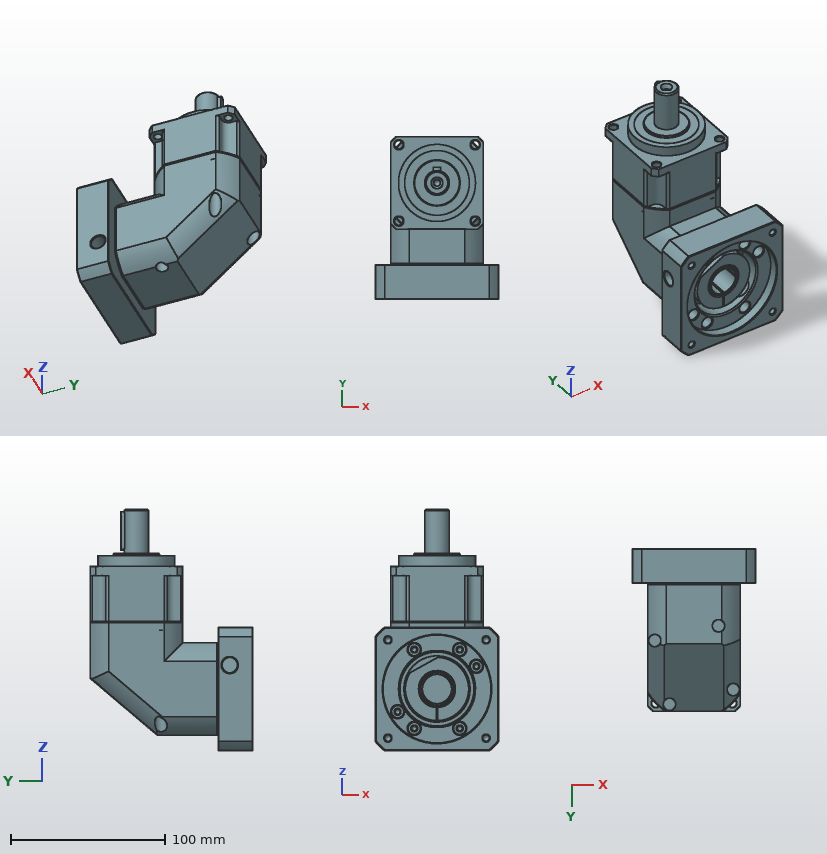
import cadquery as cq
import math


BODY_SIDE = 60.0
BODY_CORNER_RADIUS = 35.0
BODY_HALF = BODY_SIDE / 2

NECK_LENGTH = 1.0
NECK_INSET = 0.25
ELBOW_TOP = 43.0
ELBOW_FRONT = -52.0
HOUSING_BOTTOM = ELBOW_TOP + NECK_LENGTH
FLANGE_BACK = ELBOW_FRONT - NECK_LENGTH

HOUSING_TOP = 79.5
PLATE_THICKNESS = 6.0
PLATE_CORNER_RADIUS = 40.0
PILOT_DIAMETER = 50.0
PILOT_HEIGHT = 7.0
PILOT_TOP = HOUSING_TOP + PILOT_HEIGHT
SEAL_DIAMETER = 42.0
SEAL_RECESS = 0.1
MOUNT_CIRCLE = 70.0
MOUNT_HOLE_DIAMETER = 5.5
MOUNT_HOLE_CHAMFER = 0.5
MOUNT_POCKET_RADIUS = 4.75

SHAFT_DIAMETER = 16.0
SHAFT_TOP = 116.5
SHAFT_CHAMFER = 1.0
SHOULDER_DIAMETER = 30.0
SHOULDER_HEIGHT = 1.5
SHOULDER_CHAMFER_HEIGHT = 1.0
SHOULDER_CHAMFER_WIDTH = 0.5
CENTER_HOLE_DIAMETER = 4.2
CENTER_HOLE_DEPTH = 15.0
CENTER_SINK_DIAMETER = 7.5
CENTER_SINK_DEPTH = 3.0
KEY_WIDTH = 5.0
KEY_LENGTH = 25.0
KEY_TOP_RADIUS = 10.0
KEY_BOTTOM = PILOT_TOP + SHOULDER_HEIGHT + 2.0

BOLT_CIRCLE = 59.0
BOLT_ANGLES = (30, 60, 120, 210, 240, 300)
BOLT_HEAD_DIAMETER = 8.0
BOLT_HOLE_DIAMETER = 3.4
BOLT_CHAMFER = 0.5
BOLT_SEAT_THICKNESS = 6.0
BOLT_THREAD_DEPTH = 8.0
DRILL_POINT_ANGLE = math.radians(118)

SLANT_ANGLE = 40.3
SLANT_DISTANCE = 14.0
SLANT_ROUND_OFFSET = -15.1
ELBOW_BOLT_CIRCLE = 60.0
ELBOW_BOLT_ANGLES = (32, 122, 212, 302)
INPUT_RECESS_DIAMETER = 43.0
INPUT_RECESS_DEPTH = 1.0

FLANGE_SIDE = 80.0
FLANGE_CORNER_RADIUS = 52.5
FLANGE_THICKNESS = 22.5
FLANGE_FRONT = FLANGE_BACK - FLANGE_THICKNESS
FLANGE_CHAMFER = 0.5
MOTOR_PILOT_DIAMETER = 70.0
MOTOR_PILOT_DEPTH = 7.0
MOTOR_PILOT_CHAMFER = 0.5
MOTOR_PILOT_FLOOR = FLANGE_FRONT + MOTOR_PILOT_DEPTH
FLANGE_BORE_DIAMETER = 48.0
FLANGE_BORE_CHAMFER = 1.0
MOTOR_BOLT_CIRCLE = 90.0
MOTOR_HOLE_DIAMETER = 4.2
MOTOR_HOLE_CHAMFER = 0.5
MOTOR_HOLE_DEPTH = 12.0
ACCESS_HOLE_DIAMETER = 10.0
ACCESS_HOLE_CHAMFER = 0.5
ACCESS_HOLE_Y = -60.5
ACCESS_HOLE_Z = 15.5

SLEEVE_OUTER_DIAMETER = 22.0
SLEEVE_BORE_DIAMETER = 19.0
SLEEVE_CHAMFER = 0.4
SLEEVE_FRONT = FLANGE_FRONT + 10.0
SLEEVE_LENGTH = 32.0
SLEEVE_BORE_DEPTH = 28.0
SLEEVE_SLOT_WIDTH = 1.0
SLEEVE_SLOT_LENGTH = 14.0
COLLAR_DIAMETER = 41.0
COLLAR_WIDTH = 11.0
COLLAR_BORE_CHAMFER = 1.0
COLLAR_SLIT_WIDTH = 1.0
COLLAR_FLAT_ANGLE = 119.0
COLLAR_FLAT_DISTANCE = 17.7


def rounded_square_prism(plane, side, corner_radius, length):
    """Square bar along the plane normal with corners turned to corner_radius."""
    square = cq.Workplane(plane).rect(side, side).extrude(length)
    round_bar = cq.Workplane(plane).circle(corner_radius).extrude(length)
    return square.intersect(round_bar)


def horizontal_plane(z):
    """Plane at height z facing up."""
    return cq.Plane(origin=(0, 0, z), xDir=(1, 0, 0), normal=(0, 0, 1))


def front_plane(y):
    """Plane at depth y facing +Y, into the gearbox; its local axes are -X and Z."""
    return cq.Plane(origin=(0, y, 0), xDir=(-1, 0, 0), normal=(0, 1, 0))


def polar_points(circle_diameter, angles):
    radius = circle_diameter / 2
    return [
        (radius * math.cos(math.radians(a)), radius * math.sin(math.radians(a)))
        for a in angles
    ]


def mirrored(points):
    """Points in XZ as seen on a front plane, whose local x runs along -X."""
    return [(-x, z) for x, z in points]


def cylinders(plane, points, diameter, length):
    return cq.Workplane(plane).pushPoints(points).circle(diameter / 2).extrude(length)


def cylinder(plane, diameter, length):
    return cylinders(plane, [(0, 0)], diameter, length)


def drilled_holes(plane, points, diameter, depth):
    """Blind holes whose bottoms are drill-point cones beyond depth."""
    tip_plane = cq.Plane(origin=plane.origin + plane.zDir * depth, xDir=plane.xDir, normal=plane.zDir)
    tip = cq.Solid.makeCone(diameter / 2, 0, diameter / 2 / math.tan(DRILL_POINT_ANGLE / 2))
    tips = cq.Workplane(tip_plane).pushPoints(points).eachpoint(tip, useLocalCoordinates=True)
    return cylinders(plane, points, diameter, depth).union(tips)


def countersinks(plane, points, diameter, depth):
    """Cones that open a hole of the given diameter by depth on each side."""
    return (
        cq.Workplane(plane).pushPoints(points).circle(diameter / 2 + depth)
        .extrude(depth, taper=45)
    )


BOLT_POINTS = polar_points(BOLT_CIRCLE, BOLT_ANGLES)
CORNER_ANGLES = (45, 135, 225, 315)


def make_housing():
    plate_bottom = HOUSING_TOP - PLATE_THICKNESS
    pocket_height = plate_bottom - HOUSING_BOTTOM
    mount_points = polar_points(MOUNT_CIRCLE, CORNER_ANGLES)
    body = rounded_square_prism(
        horizontal_plane(HOUSING_BOTTOM), BODY_SIDE, BODY_CORNER_RADIUS, pocket_height
    )

    pocket_inner = MOUNT_CIRCLE / 2 * math.cos(math.radians(45)) - MOUNT_POCKET_RADIUS
    pocket_side = BODY_HALF - pocket_inner
    pocket_center = pocket_inner + pocket_side / 2
    pocket = (
        cq.Workplane(horizontal_plane(HOUSING_BOTTOM))
        .center(pocket_center, pocket_center)
        .rect(pocket_side, pocket_side).extrude(pocket_height)
        .edges("|Z and <(1, 1, 0)").fillet(MOUNT_POCKET_RADIUS)
    )
    for quarter_turn in (0, 90, 180, 270):
        body = body.cut(pocket.rotate((0, 0, 0), (0, 0, 1), quarter_turn))

    plate = rounded_square_prism(
        horizontal_plane(plate_bottom), BODY_SIDE, PLATE_CORNER_RADIUS, PLATE_THICKNESS
    )
    pilot = cq.Workplane(horizontal_plane(HOUSING_TOP)).circle(PILOT_DIAMETER / 2).extrude(PILOT_HEIGHT)
    body = body.union(plate).union(pilot)
    body = body.cut(cylinders(horizontal_plane(plate_bottom), mount_points,
                              MOUNT_HOLE_DIAMETER, PLATE_THICKNESS))
    sink_plane = cq.Plane(origin=(0, 0, HOUSING_TOP), xDir=(1, 0, 0), normal=(0, 0, -1))
    body = body.cut(countersinks(sink_plane, mount_points, MOUNT_HOLE_DIAMETER, MOUNT_HOLE_CHAMFER))

    body = body.cut(cylinder(horizontal_plane(HOUSING_TOP), SHOULDER_DIAMETER, PILOT_HEIGHT))
    return body.cut(cylinder(horizontal_plane(PILOT_TOP - SEAL_RECESS), SEAL_DIAMETER, SEAL_RECESS))


def make_output_shaft():
    shoulder_top = PILOT_TOP + SHOULDER_HEIGHT
    shoulder = (
        cq.Workplane(horizontal_plane(HOUSING_TOP))
        .circle(SHOULDER_DIAMETER / 2).extrude(shoulder_top - HOUSING_TOP)
        .faces(">Z").edges().chamfer(SHOULDER_CHAMFER_HEIGHT, SHOULDER_CHAMFER_WIDTH)
    )
    journal = (
        cq.Workplane(horizontal_plane(shoulder_top))
        .circle(SHAFT_DIAMETER / 2).extrude(SHAFT_TOP - shoulder_top)
        .faces(">Z").chamfer(SHAFT_CHAMFER)
    )
    key = (
        cq.Workplane("XZ", origin=(0, 0, KEY_BOTTOM + KEY_LENGTH / 2))
        .slot2D(KEY_LENGTH, KEY_WIDTH, 90)
        .extrude(-KEY_TOP_RADIUS)
    )
    shaft = shoulder.union(journal).union(key)
    top_down = cq.Plane(origin=(0, 0, SHAFT_TOP), xDir=(1, 0, 0), normal=(0, 0, -1))
    shaft = shaft.cut(drilled_holes(top_down, [(0, 0)], CENTER_HOLE_DIAMETER, CENTER_HOLE_DEPTH))
    sink = cq.Solid.makeCone(
        CENTER_SINK_DIAMETER / 2, CENTER_HOLE_DIAMETER / 2, CENTER_SINK_DEPTH,
        pnt=cq.Vector(0, 0, SHAFT_TOP), dir=cq.Vector(0, 0, -1),
    )
    return shaft.cut(cq.Workplane(sink))


def make_elbow():
    upper_leg = rounded_square_prism(
        horizontal_plane(-BODY_HALF), BODY_SIDE, BODY_CORNER_RADIUS, ELBOW_TOP + BODY_HALF
    )
    front_leg = rounded_square_prism(
        front_plane(ELBOW_FRONT), BODY_SIDE, BODY_CORNER_RADIUS, BODY_HALF - ELBOW_FRONT
    )
    reach = 4 * BODY_SIDE
    mitre = cq.Plane(origin=(0, 0, 0), xDir=(1, 0, 0), normal=(0, 1, 1))
    upper_half = cq.Workplane(mitre).rect(reach, reach).extrude(reach)
    elbow = upper_leg.intersect(upper_half).union(front_leg.cut(upper_half))

    slope = math.radians(SLANT_ANGLE)
    slope_direction = cq.Vector(0, math.cos(slope), math.sin(slope))
    slant = cq.Plane(origin=slope_direction * (-reach / 2), xDir=(1, 0, 0), normal=slope_direction)
    flat_bar = (
        cq.Workplane(slant).center(0, SLANT_DISTANCE - reach / 2)
        .rect(reach, reach).extrude(reach)
    )
    outer_zone = (
        cq.Workplane(slant).center(0, SLANT_ROUND_OFFSET)
        .circle(BODY_CORNER_RADIUS).extrude(reach)
    )
    inner_zone = (
        cq.Workplane(slant).center(0, SLANT_ROUND_OFFSET - reach / 2)
        .rect(reach, reach).extrude(reach)
    )
    elbow = elbow.intersect(flat_bar).intersect(outer_zone.union(inner_zone))

    neck_side = BODY_SIDE - 2 * NECK_INSET
    neck_radius = BODY_CORNER_RADIUS - NECK_INSET
    for plane in (horizontal_plane(ELBOW_TOP), front_plane(FLANGE_BACK)):
        elbow = elbow.union(rounded_square_prism(plane, neck_side, neck_radius, NECK_LENGTH))

    head_points = polar_points(ELBOW_BOLT_CIRCLE, ELBOW_BOLT_ANGLES)
    head_depth = HOUSING_BOTTOM - BOLT_SEAT_THICKNESS + BODY_HALF
    elbow = elbow.cut(cylinders(
        horizontal_plane(-BODY_HALF), head_points, BOLT_HEAD_DIAMETER, head_depth
    ))
    elbow = elbow.cut(drilled_holes(
        front_plane(FLANGE_BACK), mirrored(BOLT_POINTS), BOLT_HOLE_DIAMETER, BOLT_THREAD_DEPTH
    ))
    elbow = elbow.cut(cylinder(front_plane(FLANGE_BACK), INPUT_RECESS_DIAMETER, INPUT_RECESS_DEPTH))
    return elbow.cut(cylinder(front_plane(SLEEVE_FRONT), SLEEVE_OUTER_DIAMETER, SLEEVE_LENGTH))


def make_motor_flange():
    flange = rounded_square_prism(
        front_plane(FLANGE_FRONT), FLANGE_SIDE, FLANGE_CORNER_RADIUS, FLANGE_THICKNESS
    )
    flange = flange.faces("<Y or >Y").edges().chamfer(FLANGE_CHAMFER)
    flange = flange.cut(cylinder(front_plane(FLANGE_FRONT), MOTOR_PILOT_DIAMETER, MOTOR_PILOT_DEPTH))
    flange = flange.cut(countersinks(
        front_plane(FLANGE_FRONT), [(0, 0)], MOTOR_PILOT_DIAMETER, MOTOR_PILOT_CHAMFER
    ))
    flange = flange.cut(cylinder(front_plane(FLANGE_FRONT), FLANGE_BORE_DIAMETER, FLANGE_THICKNESS))
    flange = flange.cut(countersinks(
        front_plane(MOTOR_PILOT_FLOOR), [(0, 0)], FLANGE_BORE_DIAMETER, FLANGE_BORE_CHAMFER
    ))

    head_depth = FLANGE_BACK - BOLT_SEAT_THICKNESS - MOTOR_PILOT_FLOOR
    bolt_points = mirrored(BOLT_POINTS)
    flange = flange.cut(cylinders(
        front_plane(MOTOR_PILOT_FLOOR), bolt_points, BOLT_HEAD_DIAMETER, head_depth
    ))
    flange = flange.cut(cylinders(
        front_plane(FLANGE_FRONT), bolt_points, BOLT_HOLE_DIAMETER, FLANGE_THICKNESS
    ))
    flange = flange.cut(countersinks(
        front_plane(MOTOR_PILOT_FLOOR), bolt_points, BOLT_HEAD_DIAMETER, BOLT_CHAMFER
    ))
    flange = flange.cut(countersinks(
        front_plane(FLANGE_BACK - BOLT_SEAT_THICKNESS), bolt_points, BOLT_HOLE_DIAMETER, BOLT_CHAMFER
    ))

    motor_points = polar_points(MOTOR_BOLT_CIRCLE, CORNER_ANGLES)
    flange = flange.cut(drilled_holes(
        front_plane(FLANGE_FRONT), motor_points, MOTOR_HOLE_DIAMETER, MOTOR_HOLE_DEPTH
    ))
    flange = flange.cut(countersinks(
        front_plane(FLANGE_FRONT), motor_points, MOTOR_HOLE_DIAMETER, MOTOR_HOLE_CHAMFER
    ))

    for side in (-1, 1):
        mouth = cq.Plane(
            origin=(side * FLANGE_SIDE / 2, ACCESS_HOLE_Y, -side * ACCESS_HOLE_Z),
            xDir=(0, 1, 0), normal=(-side, 0, 0),
        )
        flange = flange.cut(cylinder(mouth, ACCESS_HOLE_DIAMETER, FLANGE_SIDE / 2))
        flange = flange.cut(countersinks(mouth, [(0, 0)], ACCESS_HOLE_DIAMETER, ACCESS_HOLE_CHAMFER))
    return flange


def make_input_sleeve():
    sleeve = (
        cq.Workplane(front_plane(SLEEVE_FRONT)).circle(SLEEVE_OUTER_DIAMETER / 2).extrude(SLEEVE_LENGTH)
        .faces("<Y").chamfer(SLEEVE_CHAMFER)
    )
    sleeve = sleeve.cut(cylinder(front_plane(SLEEVE_FRONT), SLEEVE_BORE_DIAMETER, SLEEVE_BORE_DEPTH))
    for size in ((SLEEVE_OUTER_DIAMETER, SLEEVE_SLOT_WIDTH), (SLEEVE_SLOT_WIDTH, SLEEVE_OUTER_DIAMETER)):
        sleeve = sleeve.cut(
            cq.Workplane(front_plane(SLEEVE_FRONT)).rect(*size).extrude(SLEEVE_SLOT_LENGTH)
        )
    return sleeve


def make_clamp_collar():
    collar = cylinder(front_plane(SLEEVE_FRONT), COLLAR_DIAMETER, COLLAR_WIDTH)
    collar = collar.cut(cylinder(front_plane(SLEEVE_FRONT), SLEEVE_OUTER_DIAMETER, COLLAR_WIDTH))
    collar = collar.cut(countersinks(
        front_plane(SLEEVE_FRONT), [(0, 0)], SLEEVE_OUTER_DIAMETER, COLLAR_BORE_CHAMFER
    ))
    slit = (
        cq.Workplane(front_plane(SLEEVE_FRONT)).center(0, -COLLAR_DIAMETER / 4)
        .rect(COLLAR_SLIT_WIDTH, COLLAR_DIAMETER / 2).extrude(COLLAR_WIDTH)
    )
    angle = math.radians(COLLAR_FLAT_ANGLE)
    flat_normal = cq.Vector(math.cos(angle), 0, math.sin(angle))
    flat_plane = cq.Plane(origin=flat_normal * COLLAR_FLAT_DISTANCE, xDir=(0, 1, 0), normal=flat_normal)
    reach = 2 * (abs(SLEEVE_FRONT) + COLLAR_WIDTH)
    flat_cut = cq.Workplane(flat_plane).rect(reach, COLLAR_DIAMETER).extrude(COLLAR_DIAMETER)
    return collar.cut(slit).cut(flat_cut)


housing = make_housing()
output_shaft = make_output_shaft()
elbow = make_elbow()
motor_flange = make_motor_flange()
input_sleeve = make_input_sleeve()
clamp_collar = make_clamp_collar()

result = cq.Compound.makeCompound([
    housing.val(),
    output_shaft.val(),
    elbow.val(),
    motor_flange.val(),
    input_sleeve.val(),
    clamp_collar.val(),
])